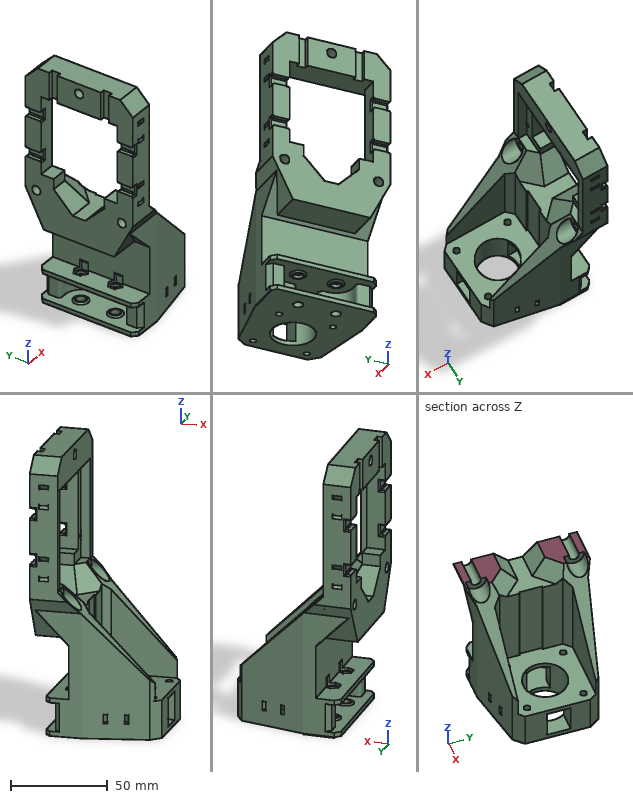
import cadquery as cq
import math

PLATE_THICKNESS = 15.0
PLATE_WIDTH = 68.0
PLATE_TOP = 150.41
PLATE_BOTTOM = 51.7
PLATE_BOTTOM_WIDTH = 44.6
PLATE_TOP_CHAMFER = 8.0
PLATE_SHOULDER_Z = 74.6

WINDOW_SIZE = 48.0
WINDOW_BOTTOM = 85.5
NOTCH_HALF_WIDTH = 16.0
NOTCH_FLOOR_HALF_WIDTH = 4.0
NOTCH_FLOOR_Z = 67.2
WINDOW_REBATE_X = 10.0
WINDOW_REBATE_WIDTH = 59.0
NOTCH_SHOULDER_Z = NOTCH_FLOOR_Z + NOTCH_HALF_WIDTH - NOTCH_FLOOR_HALF_WIDTH

SCREW_DIAMETER = 5.35
SCREW_HEAD_DIAMETER = 11.0
LOWER_SCREW_Z = 74.4
LOWER_SCREW_Y = 27.0
SCREW_RISE = 70.0
UPPER_SCREW_Z = LOWER_SCREW_Z + SCREW_RISE

GROOVE_WIDTH = 5.0
GROOVE_DEPTH = 2.65
GROOVE_Y = 16.3
SIDE_NOTCH_HEIGHTS = (95.95, 120.9)
SIDE_NOTCH_WIDTH = 5.4
SIDE_NOTCH_BEVEL = 0.7
SIDE_NOTCH_FLOOR_DEPTH = 3.0
MOUTH_HEIGHT = 6.9
MOUTH_DEPTH = 3.75
MOUTH_LENGTH = 0.8

TIE_OUTER_RADIUS = 6.5
TIE_INNER_RADIUS = 4.5
TIE_WIDTH = 5.0
PLATE_TIE_HEIGHTS = (91.4, 130.3)
BASE_TIE_X = 44.5
BASE_TIE_Z = 11.2

BODY_WIDTH = 61.2
BODY_END_X = 66.79
COLUMN_FRONT_X = 20.0
TAPER_START_X = 27.0
LEFT_TAPER_END = (62.8, 23.3)
LEFT_END_Y = 17.4
RIGHT_TAPER_END = (61.7, 23.7)
RIGHT_END_Y = 18.6
SLOPE_SUM = 94.6
UNDERSIDE_SUM = 70.0
BASE_BOTTOM = 0.41
BASE_HEIGHT = 21.0
BASE_PLATE_THICKNESS = 2.6
CAVITY_FLOOR = BASE_BOTTOM + BASE_PLATE_THICKNESS
CAVITY_CEILING = BASE_HEIGHT - BASE_PLATE_THICKNESS
BASE_PLATE_FRONT_X = 7.2
BASE_WALL_FRONT_X = 12.2
BASE_CORNER_CHAMFER = 2.8
LIP_THICKNESS = 0.3

MOTOR_X = 45.8
MOTOR_POCKET_WIDTH = 42.8
MOTOR_POCKET_FRONT_X = 24.45
MOTOR_POCKET_CHAMFER = 4.0
MOTOR_BORE_DIAMETER = 24.0
MOTOR_SCREW_SPACING = 31.0
MOTOR_SCREW_DIAMETER = 3.5
CABLE_RECESS_WIDTH = 12.6
CABLE_RECESS_DEPTH = 0.9

IDLER_X = 17.3
IDLER_Y = 10.9
IDLER_CLEARANCE_RADIUS = 9.8
BELT_HALF_WIDTH = 6.5
BELT_FILLET = 3.0
CAVITY_MOUTH_FILLET = 1.8
BOSS_HEIGHT = 0.8
BOSS_BASE_DIAMETER = 9.0
BOSS_TOP_DIAMETER = 6.8
IDLER_HOLE_DIAMETER = 5.35
NUT_FLATS = 7.5
NUT_SEAT_DEPTH = 1.5
NUT_RECESS_TOP = 25.9
NUT_RECESS_ROOF = 1.4

SIDES = (1, -1)


def box(x0, x1, y0, y1, z0, z1):
    return cq.Workplane("XY").box(x1 - x0, y1 - y0, z1 - z0, centered=False).translate((x0, y0, z0))


def cylinder_z(diameter, x, y, z0, z1):
    return cq.Workplane("XY", origin=(x, y, z0)).circle(diameter / 2).extrude(z1 - z0)


def cylinder_x(diameter, y, z, x0, x1):
    return cq.Workplane("YZ", origin=(x0, y, z)).circle(diameter / 2).extrude(x1 - x0)


def mirrored_outline(half):
    """Closes a half outline, given for +Y as (y, z) from top to bottom, by mirroring it."""
    return half + [(-y, z) for y, z in reversed(half)]


def body_plan(front_x, chamfer, z0, z1):
    """Horizontal slab of the body, from front_x to the tapered rear end."""
    half = BODY_WIDTH / 2
    points = [
        (front_x, half - chamfer),
        (front_x + chamfer, half),
        (TAPER_START_X, half),
        LEFT_TAPER_END,
        (BODY_END_X, LEFT_END_Y),
        (BODY_END_X, -RIGHT_END_Y),
        (RIGHT_TAPER_END[0], -RIGHT_TAPER_END[1]),
        (TAPER_START_X, -half),
        (front_x + chamfer, -half),
        (front_x, chamfer - half),
    ]
    if chamfer == 0:
        points = points[1:-1]
    return cq.Workplane("XY", origin=(0, 0, z0)).polyline(points).close().extrude(z1 - z0)


def side_prism(points):
    """Prism across the whole width with the given (x, z) outline."""
    return cq.Workplane("XZ").polyline(points).close().extrude(PLATE_WIDTH / 2, both=True)


def upright_plate():
    """Plate with its lower part carried back to the 45 degree slope."""
    half = PLATE_WIDTH / 2
    outline = mirrored_outline([
        (half - PLATE_TOP_CHAMFER, PLATE_TOP),
        (half, PLATE_TOP - PLATE_TOP_CHAMFER),
        (half, PLATE_SHOULDER_Z),
        (PLATE_BOTTOM_WIDTH / 2, PLATE_BOTTOM),
    ])
    slab = cq.Workplane("YZ").polyline(outline).close().extrude(TAPER_START_X)
    profile = side_prism([
        (0, PLATE_BOTTOM),
        (0, PLATE_TOP),
        (PLATE_THICKNESS, PLATE_TOP),
        (PLATE_THICKNESS, SLOPE_SUM - PLATE_THICKNESS),
        (TAPER_START_X, SLOPE_SUM - TAPER_START_X),
        (TAPER_START_X, PLATE_BOTTOM),
    ])
    return slab.intersect(profile)


def column():
    """Column and motor housing between the 45 degree underside and the back slope."""
    profile = side_prism([
        (COLUMN_FRONT_X, 0),
        (COLUMN_FRONT_X, UNDERSIDE_SUM - COLUMN_FRONT_X),
        (0, UNDERSIDE_SUM),
        (PLATE_THICKNESS, SLOPE_SUM - PLATE_THICKNESS),
        (BODY_END_X, SLOPE_SUM - BODY_END_X),
        (BODY_END_X, 0),
    ])
    narrowing = (PLATE_WIDTH - PLATE_BOTTOM_WIDTH) / (PLATE_SHOULDER_Z - PLATE_BOTTOM)
    meet_z = PLATE_SHOULDER_Z - (PLATE_WIDTH - BODY_WIDTH) / narrowing
    return body_plan(0, 0, BASE_BOTTOM, meet_z).intersect(profile)


def belt_base():
    """Two thin plates joined by a hollow wall, with the belt running between them."""
    base = body_plan(BASE_WALL_FRONT_X, BASE_CORNER_CHAMFER, BASE_BOTTOM, BASE_HEIGHT)
    for z0, z1 in ((BASE_BOTTOM, CAVITY_FLOOR), (CAVITY_CEILING, BASE_HEIGHT)):
        base = base.union(body_plan(BASE_PLATE_FRONT_X, BASE_CORNER_CHAMFER, z0, z1))
    lip = box(
        BASE_PLATE_FRONT_X + BASE_CORNER_CHAMFER, TAPER_START_X,
        BODY_WIDTH / 2 - LIP_THICKNESS, BODY_WIDTH / 2,
        0, CAVITY_FLOOR,
    )
    return base.union(lip)


def belt_cavity():
    """Room for both idlers at the front, narrowing to a belt passage out of the rear end."""
    wall_y = IDLER_Y + IDLER_CLEARANCE_RADIUS
    mouth = CAVITY_MOUTH_FILLET
    mouth_mid = mouth * (1 - math.sqrt(0.5))
    fillet_y = BELT_HALF_WIDTH + BELT_FILLET
    reach = IDLER_CLEARANCE_RADIUS + BELT_FILLET
    fillet_angle = math.asin((fillet_y - IDLER_Y) / reach)
    fillet_x = IDLER_X + reach * math.cos(fillet_angle)

    def on_clearance(angle):
        return (
            IDLER_X + IDLER_CLEARANCE_RADIUS * math.cos(angle),
            IDLER_Y + IDLER_CLEARANCE_RADIUS * math.sin(angle),
        )

    fillet_mid_angle = (fillet_angle + math.pi + 3 * math.pi / 2) / 2
    fillet_mid = (
        fillet_x + BELT_FILLET * math.cos(fillet_mid_angle),
        fillet_y + BELT_FILLET * math.sin(fillet_mid_angle),
    )
    half = (
        cq.Workplane("XY", origin=(0, 0, CAVITY_FLOOR))
        .moveTo(BASE_WALL_FRONT_X, 0)
        .lineTo(BASE_WALL_FRONT_X, wall_y + mouth)
        .threePointArc(
            (BASE_WALL_FRONT_X + mouth_mid, wall_y + mouth_mid),
            (BASE_WALL_FRONT_X + mouth, wall_y),
        )
        .lineTo(IDLER_X, wall_y)
        .threePointArc(on_clearance((fillet_angle + math.pi / 2) / 2), on_clearance(fillet_angle))
        .threePointArc(fillet_mid, (fillet_x, BELT_HALF_WIDTH))
        .lineTo(BODY_END_X, BELT_HALF_WIDTH)
        .lineTo(BODY_END_X, 0)
        .close()
        .extrude(CAVITY_CEILING - CAVITY_FLOOR)
    )
    return half.union(half.mirror("XZ"))


def idler_boss(y, plate_face_z, direction):
    """Conical spacer standing on a base plate, pointing up (1) or down (-1)."""
    cone = cq.Solid.makeCone(
        BOSS_BASE_DIAMETER / 2, BOSS_TOP_DIAMETER / 2, BOSS_HEIGHT,
        pnt=cq.Vector(IDLER_X, y, plate_face_z), dir=cq.Vector(0, 0, direction),
    )
    return cq.Workplane(obj=cone)


def nut_recess(y):
    """Hexagonal nut seat in the top base plate, running up into the column under a sloped roof."""
    seat_z = BASE_HEIGHT - NUT_SEAT_DEPTH
    corner_diameter = NUT_FLATS / math.cos(math.pi / 6)
    back_x = IDLER_X + NUT_FLATS / 2
    hexagon = (
        cq.Workplane("XY", origin=(IDLER_X, y, seat_z))
        .transformed(rotate=(0, 0, 30))
        .polygon(6, corner_diameter)
        .extrude(NUT_RECESS_TOP - seat_z)
    )
    roof = side_prism([
        (IDLER_X - corner_diameter, seat_z),
        (IDLER_X - corner_diameter, NUT_RECESS_TOP),
        (COLUMN_FRONT_X, NUT_RECESS_TOP),
        (back_x, NUT_RECESS_TOP - NUT_RECESS_ROOF),
        (back_x, seat_z),
    ])
    return hexagon.intersect(roof)


def motor_pocket():
    pocket = box(
        MOTOR_POCKET_FRONT_X, BODY_END_X + MOTOR_POCKET_WIDTH,
        -MOTOR_POCKET_WIDTH / 2, MOTOR_POCKET_WIDTH / 2,
        BASE_HEIGHT, SLOPE_SUM,
    )
    pocket = pocket.edges("|Z and <X").chamfer(MOTOR_POCKET_CHAMFER)
    cable_recess = box(
        MOTOR_POCKET_FRONT_X - CABLE_RECESS_DEPTH, MOTOR_X,
        -CABLE_RECESS_WIDTH / 2, CABLE_RECESS_WIDTH / 2,
        BASE_HEIGHT, SLOPE_SUM,
    )
    return pocket.union(cable_recess)


def motor_holes():
    holes = cylinder_z(MOTOR_BORE_DIAMETER, MOTOR_X, 0, 0, BASE_HEIGHT)
    offset = MOTOR_SCREW_SPACING / 2
    for sx in SIDES:
        for sy in SIDES:
            x = MOTOR_X + sx * offset
            holes = holes.union(cylinder_z(MOTOR_SCREW_DIAMETER, x, sy * offset, 0, BASE_HEIGHT))
    return holes


def window():
    """Opening through the plate; its rear is rebated and flares out to the motor pocket."""
    half = WINDOW_SIZE / 2
    outline = mirrored_outline([
        (half, WINDOW_BOTTOM + WINDOW_SIZE),
        (half, WINDOW_BOTTOM),
        (NOTCH_HALF_WIDTH, WINDOW_BOTTOM),
        (NOTCH_HALF_WIDTH, NOTCH_SHOULDER_Z),
        (NOTCH_FLOOR_HALF_WIDTH, NOTCH_FLOOR_Z),
    ])
    opening = cq.Workplane("YZ").polyline(outline).close().extrude(PLATE_THICKNESS)
    slope_top = SLOPE_SUM - PLATE_THICKNESS
    flare_tip_x = PLATE_THICKNESS - NOTCH_FLOOR_HALF_WIDTH
    flare_end_x = SLOPE_SUM - NOTCH_FLOOR_Z
    flare_end_y = flare_end_x - flare_tip_x
    flare = (
        cq.Workplane("XY", origin=(0, 0, NOTCH_FLOOR_Z))
        .polyline([
            (flare_tip_x, 0),
            (flare_end_x, flare_end_y),
            (flare_end_x, -flare_end_y),
        ])
        .close()
        .extrude(slope_top - NOTCH_FLOOR_Z, taper=-45)
    )
    rebate = box(
        WINDOW_REBATE_X, PLATE_THICKNESS, -WINDOW_REBATE_WIDTH / 2, WINDOW_REBATE_WIDTH / 2,
        slope_top, WINDOW_BOTTOM + WINDOW_SIZE,
    )
    flare_limits = box(
        WINDOW_REBATE_X, BODY_END_X, -WINDOW_REBATE_WIDTH / 2, WINDOW_REBATE_WIDTH / 2,
        NOTCH_FLOOR_Z, slope_top,
    )
    return opening.union(rebate).union(flare.intersect(flare_limits))


def plate_screw_holes():
    holes = cylinder_x(SCREW_DIAMETER, 0, UPPER_SCREW_Z, 0, PLATE_THICKNESS)
    for side in SIDES:
        y = side * LOWER_SCREW_Y
        holes = holes.union(cylinder_x(SCREW_DIAMETER, y, LOWER_SCREW_Z, 0, PLATE_THICKNESS))
        head = cylinder_x(SCREW_HEAD_DIAMETER, y, LOWER_SCREW_Z, PLATE_THICKNESS, TAPER_START_X)
        holes = holes.union(head)
    return holes


def top_groove(y):
    return box(
        0, GROOVE_DEPTH, y - GROOVE_WIDTH / 2, y + GROOVE_WIDTH / 2,
        WINDOW_BOTTOM + WINDOW_SIZE, PLATE_TOP,
    )


def side_notch(z):
    """Cross notch in one plate leg (+Y), with a bevelled floor and flared mouths at both ends."""
    inner_y = WINDOW_SIZE / 2
    outer_y = PLATE_WIDTH / 2
    half_width = SIDE_NOTCH_WIDTH / 2
    half_floor = half_width - SIDE_NOTCH_BEVEL
    wall_depth = SIDE_NOTCH_FLOOR_DEPTH - SIDE_NOTCH_BEVEL
    channel = (
        cq.Workplane("XZ")
        .polyline([
            (0, z - half_width),
            (wall_depth, z - half_width),
            (SIDE_NOTCH_FLOOR_DEPTH, z - half_floor),
            (SIDE_NOTCH_FLOOR_DEPTH, z + half_floor),
            (wall_depth, z + half_width),
            (0, z + half_width),
        ])
        .close()
        .extrude(inner_y - outer_y)
        .translate((0, inner_y, 0))
    )
    for y, inward in ((inner_y, 1), (outer_y, -1)):
        mouth = (
            cq.Workplane(cq.Plane(origin=(0, y, z), xDir=(1, 0, 0), normal=(0, inward, 0)))
            .rect(2 * MOUTH_DEPTH, MOUTH_HEIGHT)
            .workplane(offset=MOUTH_LENGTH)
            .rect(2 * SIDE_NOTCH_FLOOR_DEPTH, SIDE_NOTCH_WIDTH)
            .loft()
        )
        channel = channel.union(mouth)
    return channel


def tie_tunnels(z):
    """Two 45 degree tunnels running into the +Y side of the plate until they meet."""
    face_y = PLATE_WIDTH / 2
    outline = [
        (face_y, z + TIE_OUTER_RADIUS),
        (face_y - TIE_OUTER_RADIUS, z),
        (face_y, z - TIE_OUTER_RADIUS),
        (face_y, z - TIE_INNER_RADIUS),
        (face_y - TIE_INNER_RADIUS, z),
        (face_y, z + TIE_INNER_RADIUS),
    ]
    start_x = (PLATE_THICKNESS - TIE_WIDTH) / 2
    return cq.Workplane("YZ", origin=(start_x, 0, 0)).polyline(outline).close().extrude(TIE_WIDTH)


def base_tie_ring(side):
    """Ring tunnel centred on the tapered side face, so half of it lies inside the base."""
    taper = (BODY_WIDTH / 2 - LEFT_TAPER_END[1]) / (LEFT_TAPER_END[0] - TAPER_START_X)
    base_wall_y = BODY_WIDTH / 2 - taper * (BASE_TIE_X - TAPER_START_X)
    return (
        cq.Workplane("XY", origin=(BASE_TIE_X, side * base_wall_y, BASE_TIE_Z))
        .circle(TIE_OUTER_RADIUS)
        .circle(TIE_INNER_RADIUS)
        .extrude(TIE_WIDTH / 2, both=True)
    )


def bracket():
    part = upright_plate().union(column()).union(belt_base())
    part = part.cut(motor_pocket()).cut(belt_cavity())
    for side in SIDES:
        y = side * IDLER_Y
        part = part.union(idler_boss(y, CAVITY_FLOOR, 1))
        part = part.union(idler_boss(y, CAVITY_CEILING, -1))
        part = part.cut(cylinder_z(IDLER_HOLE_DIAMETER, IDLER_X, y, 0, BASE_HEIGHT))
        part = part.cut(nut_recess(y))
        part = part.cut(base_tie_ring(side))
        part = part.cut(top_groove(side * GROOVE_Y))
    part = part.cut(motor_holes()).cut(window()).cut(plate_screw_holes())
    for z in SIDE_NOTCH_HEIGHTS:
        notch = side_notch(z)
        part = part.cut(notch).cut(notch.mirror("XZ"))
    for z in PLATE_TIE_HEIGHTS:
        tunnels = tie_tunnels(z)
        part = part.cut(tunnels).cut(tunnels.mirror("XZ"))
    return part


result = bracket()